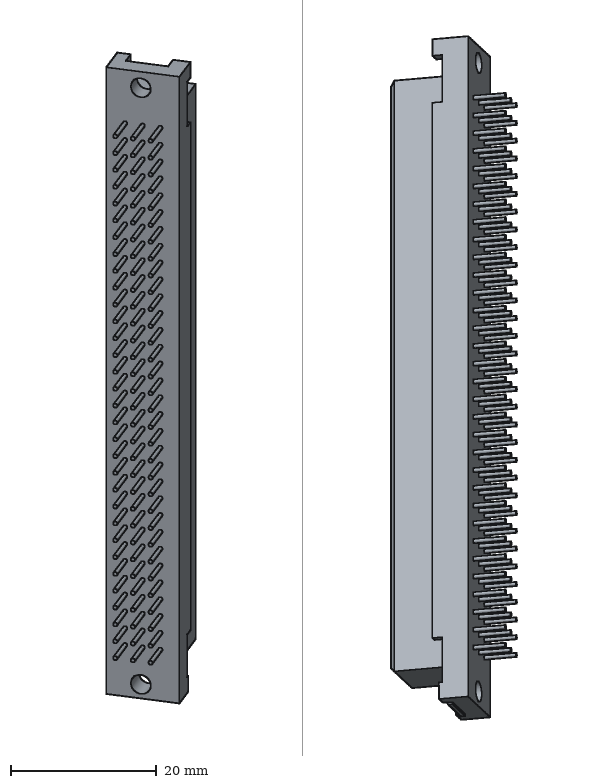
import cadquery as cq

base_width = 10.5
base_top = 47.45
base_bottom = -47.2
side_height = 5.1
notch_height = 3.7
lower_tab_height = 4.2
tab_length = 2.4
notch_inner_z = 38.3

block_width = 8.4
block_front_y = 11.6
block_half_length = 42.3
block_chamfer = 0.7
key_step_x = 1.2
key_step_depth = 0.9

channel_center_x = -0.3
channel_width = 6.1
channel_half_width = channel_width / 2
channel_x = (channel_center_x - channel_half_width, channel_center_x + channel_half_width)
hole_diameter = 2.8
hole_spacing = 90.1
hole_z = hole_spacing / 2
nut_trap_floor = 2.8

lug_bottom = -47.45
lug_y = (2.8, 3.5)

pin_diameter = 0.6
pin_length = 4.6
pin_rows = 32
pin_columns = 3
pin_field_length = 78.8
pin_pitch = pin_field_length / (pin_rows - 1)


def block_between(x_range, y_range, z_range):
    """Rectangular block filling the given (low, high) ranges."""
    low = cq.Vector(x_range[0], y_range[0], z_range[0])
    high = cq.Vector(x_range[1], y_range[1], z_range[1])
    size = high - low
    return cq.Workplane("XY").box(size.x, size.y, size.z, centered=False).translate(low)


def make_base():
    """Bar notched behind each end tab, with a channel through both tabs."""
    profile = [
        (0, base_bottom),
        (lower_tab_height, base_bottom),
        (lower_tab_height, base_bottom + tab_length),
        (notch_height, base_bottom + tab_length),
        (notch_height, -notch_inner_z),
        (side_height, -notch_inner_z),
        (side_height, notch_inner_z),
        (notch_height, notch_inner_z),
        (notch_height, base_top - tab_length),
        (side_height, base_top - tab_length),
        (side_height, base_top),
        (0, base_top),
    ]
    base = cq.Workplane("YZ").polyline(profile).close().extrude(base_width / 2, both=True)

    tab_y = (notch_height, side_height)
    for end_z in ((base_bottom, -block_half_length), (block_half_length, base_top)):
        base = base.cut(block_between(channel_x, tab_y, end_z))
    return base


def make_mating_block():
    """Block with a polarising step at the +X side of its upper end and a chamfered front."""
    half_width = block_width / 2
    block_y = (nut_trap_floor, block_front_y)
    block = block_between((-half_width, half_width), block_y, (-block_half_length, block_half_length))
    step_z = (block_half_length - key_step_depth, block_half_length)
    block = block.cut(block_between((key_step_x, half_width), block_y, step_z))
    return block.faces(">Y").chamfer(block_chamfer)


def make_nut_trap():
    """Slot open at the upper end, closed below the hole by half a hexagon."""
    half_flat = channel_half_width / 2
    outline = [
        (-channel_half_width, base_top),
        (-channel_half_width, hole_z),
        (-half_flat, block_half_length),
        (half_flat, block_half_length),
        (channel_half_width, hole_z),
        (channel_half_width, base_top),
    ]
    return (
        cq.Workplane("XZ", origin=(channel_center_x, nut_trap_floor, 0))
        .polyline(outline)
        .close()
        .extrude(nut_trap_floor - notch_height)
    )


def make_lug():
    return block_between(channel_x, lug_y, (lug_bottom, base_bottom))


def make_mounting_holes():
    """Two through-hole cutters, running from y = 0 toward +Y."""
    return (
        cq.Workplane("XZ")
        .pushPoints([(channel_center_x, -hole_z), (channel_center_x, hole_z)])
        .circle(hole_diameter / 2)
        .extrude(-side_height)
    )


def make_pins():
    """Grid of round pins standing out of the base toward -Y."""
    return (
        cq.Workplane("XZ")
        .rarray(pin_pitch, pin_pitch, pin_columns, pin_rows)
        .circle(pin_diameter / 2)
        .extrude(pin_length)
    )


result = (
    make_base()
    .union(make_mating_block())
    .cut(make_nut_trap())
    .cut(make_mounting_holes())
    .union(make_lug())
    .union(make_pins())
)